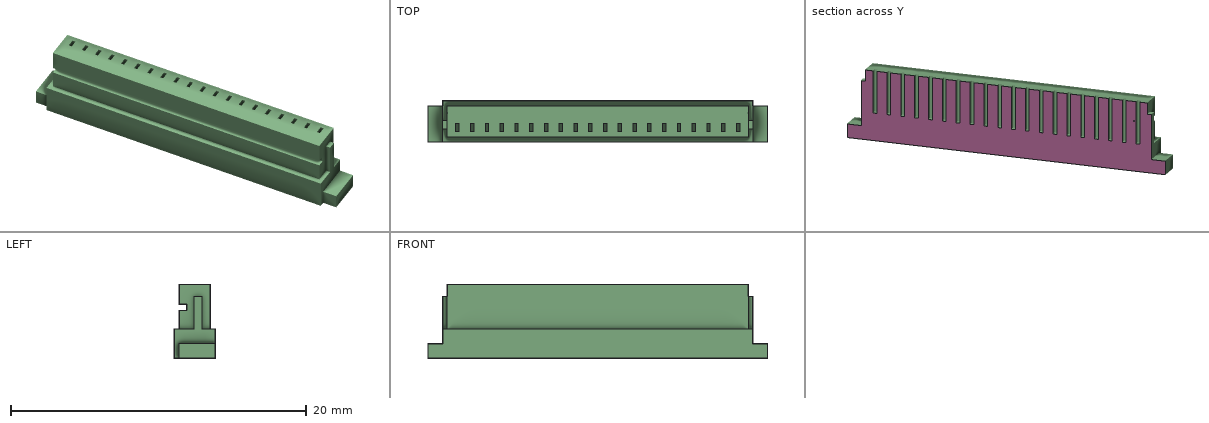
import cadquery as cq

base_length = 21.0
base_width = 2.8
base_height = 2.0
foot_length = 1.0
foot_height = 1.0
foot_setback = 0.35

body_length = 20.4
body_width = 2.1
total_height = 5.0

rib_front = -0.5
rib_back = 0.05
rib_top = 4.2

groove_bottom = 3.25
groove_height = 0.4
groove_depth = 0.5

slot_count = 20
slot_pitch = 1.0
slot_length_x = 0.23
slot_length_y = 0.55
slot_center_y = -0.425
slot_depth = total_height - base_height


def block(length, front, back, bottom, top):
    """Box centred on X that spans front to back in Y and bottom to top in Z."""
    return (
        cq.Workplane("XY")
        .box(length, back - front, top - bottom, centered=(True, False, False))
        .translate((0, front, bottom))
    )


def make_base():
    front = -base_width / 2
    back = base_width / 2
    bar = block(base_length, front, back, 0, base_height)
    feet = block(base_length + 2 * foot_length, front, back - foot_setback, 0, foot_height)
    return bar.union(feet)


def make_body():
    body = block(body_length, -body_width / 2, body_width / 2, base_height, total_height)
    ribs = block(base_length, rib_front, rib_back, base_height, rib_top)
    return body.union(ribs)


def make_groove():
    back = body_width / 2
    return block(body_length, back - groove_depth, back, groove_bottom, groove_bottom + groove_height)


def make_slots():
    return (
        cq.Workplane("XY", origin=(0, slot_center_y, total_height))
        .rarray(slot_pitch, 1, slot_count, 1)
        .rect(slot_length_x, slot_length_y)
        .extrude(-slot_depth)
    )


result = make_base().union(make_body()).cut(make_groove()).cut(make_slots())